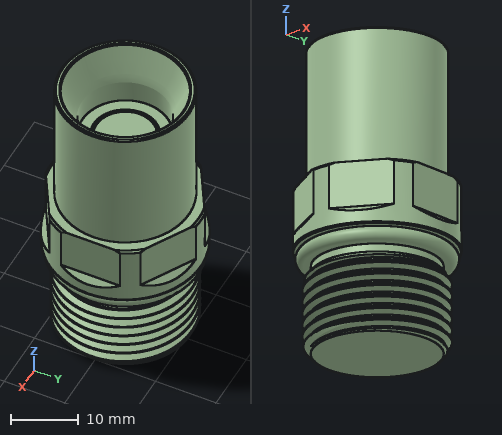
import cadquery as cq
import math

TOTAL_HEIGHT = 47.8
THREAD_TOP = 12.5
FLANGE_BOTTOM = 16.05
HEX_FLAT_BOTTOM = 19.15
HEX_TOP = 26.35

NECK_RADIUS = 19.7 / 2
THREAD_ROOT_RADIUS = 20.2 / 2
THREAD_CREST_RADIUS = 22.2 / 2
THREAD_PITCH = 1.8
THREAD_ROOT_FLAT = 0.35
THREAD_CREST_FLAT = 0.2
FIRST_CREST_Z = 1.63
GROOVE_CLEARANCE = 0.05

RING_TUBE_RADIUS = 1.15
RING_OUTER_RADIUS = 12.15

FLANGE_RADIUS = 25.0 / 2
HEX_SIDES = 6
HEX_ACROSS_FLATS = 23.0
HEX_TOP_CHAMFER = 0.35
FLAT_CUTTER_MARGIN = 0.5
FLANGE_EDGE_STEP = 0.1
FLANGE_EDGE_HEIGHT = 0.25

TUBE_RADIUS = 10.5
TUBE_CHAMFER = 0.25
MOUTH_RADIUS = 9.75
MOUTH_CHAMFER = 0.2
CONE_END_RADIUS = 15.1 / 2
CONE_DEPTH = 4.35
BORE_RADIUS = 7.07
BLEND_DEPTH = 5.65
BORE_DEPTH = 9.35
FLOOR_GROOVE_OUTER_RADIUS = 5.15
FLOOR_GROOVE_INNER_RADIUS = 9.45 / 2
FLOOR_GROOVE_DEPTH = 0.5


def revolve_profile(profile):
    """Revolve a closed XZ profile a full turn about the Z axis."""
    return profile.close().revolve(360, (0, 0, 0), (0, 1, 0))


def make_threaded_spigot():
    """Cylinder with 45 degree ends, cut by a right-handed helical groove."""
    end_chamfer = THREAD_CREST_RADIUS - NECK_RADIUS
    blank = revolve_profile(
        cq.Workplane("XZ")
        .lineTo(NECK_RADIUS, 0)
        .lineTo(THREAD_CREST_RADIUS, end_chamfer)
        .lineTo(THREAD_CREST_RADIUS, THREAD_TOP - end_chamfer)
        .lineTo(NECK_RADIUS, THREAD_TOP)
        .lineTo(0, THREAD_TOP)
    )
    depth = THREAD_CREST_RADIUS - THREAD_ROOT_RADIUS
    root_half = THREAD_ROOT_FLAT / 2
    crest_half = (THREAD_PITCH - THREAD_CREST_FLAT) / 2
    flank_slope = (crest_half - root_half) / depth
    outer_half = crest_half + flank_slope * GROOVE_CLEARANCE
    outer_radius = THREAD_CREST_RADIUS + GROOVE_CLEARANCE

    start_z = FIRST_CREST_Z - 1.5 * THREAD_PITCH
    turns = math.ceil((THREAD_TOP - start_z) / THREAD_PITCH)
    helix = cq.Wire.makeHelix(THREAD_PITCH, turns * THREAD_PITCH, THREAD_ROOT_RADIUS)
    groove = (
        cq.Workplane("XZ")
        .moveTo(THREAD_ROOT_RADIUS, -root_half)
        .lineTo(outer_radius, -outer_half)
        .lineTo(outer_radius, outer_half)
        .lineTo(THREAD_ROOT_RADIUS, root_half)
        .close()
        .sweep(cq.Workplane(helix), isFrenet=True)
        .translate((0, 0, start_z))
    )
    blank = blank.rotate((0, 0, 0), (0, 0, 1), 180)
    return blank.cut(groove)


def make_neck():
    neck_height = FLANGE_BOTTOM - THREAD_TOP
    return cq.Workplane("XY", origin=(0, 0, THREAD_TOP)).circle(NECK_RADIUS).extrude(neck_height)


def make_sealing_ring():
    centre_radius = RING_OUTER_RADIUS - RING_TUBE_RADIUS
    centre_z = FLANGE_BOTTOM - RING_TUBE_RADIUS
    return revolve_profile(
        cq.Workplane("XZ")
        .moveTo(NECK_RADIUS, centre_z - RING_TUBE_RADIUS)
        .lineTo(centre_radius, centre_z - RING_TUBE_RADIUS)
        .threePointArc((RING_OUTER_RADIUS, centre_z), (centre_radius, FLANGE_BOTTOM))
        .lineTo(NECK_RADIUS, FLANGE_BOTTOM)
    )


def make_hexagon():
    """Round flange with six flats, each ending in a 45 degree runout."""
    body = revolve_profile(
        cq.Workplane("XZ")
        .moveTo(0, FLANGE_BOTTOM)
        .lineTo(FLANGE_RADIUS - FLANGE_EDGE_STEP, FLANGE_BOTTOM)
        .lineTo(FLANGE_RADIUS, FLANGE_BOTTOM + FLANGE_EDGE_HEIGHT)
        .lineTo(FLANGE_RADIUS, HEX_TOP - HEX_TOP_CHAMFER)
        .lineTo(FLANGE_RADIUS - HEX_TOP_CHAMFER, HEX_TOP)
        .lineTo(0, HEX_TOP)
    )
    apothem = HEX_ACROSS_FLATS / 2
    cut_depth = FLANGE_RADIUS - apothem + FLAT_CUTTER_MARGIN
    flat_cutter = (
        cq.Workplane("XZ")
        .moveTo(apothem, HEX_TOP)
        .lineTo(apothem, HEX_FLAT_BOTTOM)
        .lineTo(apothem + cut_depth, HEX_FLAT_BOTTOM - cut_depth)
        .lineTo(apothem + cut_depth, HEX_TOP)
        .close()
        .extrude(FLANGE_RADIUS, both=True)
    )
    for side in range(HEX_SIDES):
        body = body.cut(flat_cutter.rotate((0, 0, 0), (0, 0, 1), side * 360 / HEX_SIDES))
    return body


def make_tube():
    return (
        cq.Workplane("XY", origin=(0, 0, HEX_TOP))
        .circle(TUBE_RADIUS)
        .extrude(TOTAL_HEIGHT - HEX_TOP)
        .faces(">Z")
        .chamfer(TUBE_CHAMFER)
    )


def make_bore():
    """Conical mouth blended into a straight bore with a ring groove in its floor."""
    cone_start_radius = MOUTH_RADIUS - MOUTH_CHAMFER
    cone_start_z = TOTAL_HEIGHT - MOUTH_CHAMFER
    cone_end_z = TOTAL_HEIGHT - CONE_DEPTH
    floor_z = TOTAL_HEIGHT - BORE_DEPTH
    groove_z = floor_z - FLOOR_GROOVE_DEPTH
    return revolve_profile(
        cq.Workplane("XZ")
        .moveTo(0, TOTAL_HEIGHT)
        .lineTo(MOUTH_RADIUS, TOTAL_HEIGHT)
        .lineTo(cone_start_radius, cone_start_z)
        .lineTo(CONE_END_RADIUS, cone_end_z)
        .tangentArcPoint((BORE_RADIUS, TOTAL_HEIGHT - BLEND_DEPTH), relative=False)
        .lineTo(BORE_RADIUS, floor_z)
        .lineTo(FLOOR_GROOVE_OUTER_RADIUS, floor_z)
        .lineTo(FLOOR_GROOVE_OUTER_RADIUS, groove_z)
        .lineTo(FLOOR_GROOVE_INNER_RADIUS, groove_z)
        .lineTo(FLOOR_GROOVE_INNER_RADIUS, floor_z)
        .lineTo(0, floor_z)
    )


result = (
    make_threaded_spigot()
    .union(make_neck())
    .union(make_sealing_ring())
    .union(make_hexagon())
    .union(make_tube())
    .cut(make_bore())
)